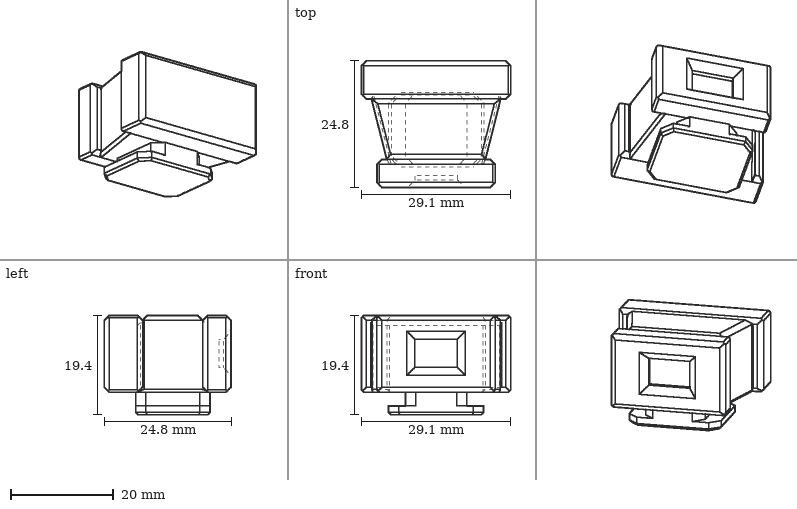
import cadquery as cq


block_height = 15.0
objective_width = 29.15
objective_depth = 7.5
eyepiece_width = 23.1
eyepiece_depth = 5.5
overall_depth = 24.75
wide_chamfer = 1.0
narrow_chamfer = wide_chamfer / 2

body_front_y = eyepiece_depth
body_rear_y = overall_depth - objective_depth
body_front_half_width = 9.65
body_rear_half_width = 12.62
seat_depth = wide_chamfer
top_front_slope_run = 1.0
top_rear_slope_run = 0.9
body_bottom_chamfer = 0.58
corner_bevel_length = 0.3
front_bevel_slope = 0.47
rear_bevel_slope = 0.14

relief_half_width = 12.77
relief_depth = 0.47
relief_top_z = block_height - 1.43
relief_bottom_z = 0.93
relief_side_slope = 0.6

window_width = 11.37
window_height = 8.57
window_center_z = 7.6
window_bevel = 1.55
window_straight_depth = 0.87

foot_depth = 14.52
foot_front_y = 4.08
foot_corner = 2.0
flange_width = 18.57
flange_thickness = 1.78
foot_height = 4.43
neck_width = 12.0


def symmetric_outline(front_to_rear):
    """Closed plan outline from (half width, y) points, listed from front to rear."""
    mirrored = [(-x, y) for x, y in reversed(front_to_rear)]
    return front_to_rear + mirrored


def prism(points, bottom_z, height):
    """Upright prism over a closed plan outline."""
    return cq.Workplane("XY").workplane(offset=bottom_z).polyline(points).close().extrude(height)


def make_block(width, depth, front_y):
    """Block with narrow chamfers along Y and wide chamfers around its front and rear faces."""
    blank = cq.Workplane("XY").box(width, depth, block_height, centered=(True, False, False))
    chamfered_ends = blank.faces("<Y or >Y").chamfer(wide_chamfer)
    chamfered_sides = blank.edges("|Y").chamfer(narrow_chamfer)
    return chamfered_ends.intersect(chamfered_sides).translate((0, front_y, 0))


def make_body():
    """Wedge-shaped body with chamfered sides, sloped upper ends and bevelled upright corners."""
    slope = (body_rear_half_width - body_front_half_width) / (body_rear_y - body_front_y)
    front_y = body_front_y - seat_depth
    rear_y = body_rear_y + seat_depth
    front_half = body_front_half_width - slope * seat_depth
    rear_half = body_rear_half_width + slope * seat_depth
    wedge_outline = symmetric_outline([(front_half, front_y), (rear_half, rear_y)])
    wedge = prism(wedge_outline, 0, block_height)
    wedge = wedge.faces(">Z").edges("not |X").chamfer(wide_chamfer)
    wedge = wedge.faces("<Z").edges("not |X").chamfer(body_bottom_chamfer)

    front_slope = top_front_slope_run + seat_depth
    rear_slope = top_rear_slope_run + seat_depth
    sloped_ends = (
        cq.Workplane("YZ")
        .polyline(
            [
                (front_y, 0),
                (rear_y, 0),
                (rear_y, block_height - rear_slope),
                (rear_y - rear_slope, block_height),
                (front_y + front_slope, block_height),
                (front_y, block_height - front_slope),
            ]
        )
        .close()
        .extrude(rear_half, both=True)
    )

    bevel_run = corner_bevel_length + seat_depth
    front_bevel_half = body_front_half_width + slope * corner_bevel_length
    rear_bevel_half = body_rear_half_width - slope * corner_bevel_length
    bevelled = symmetric_outline(
        [
            (front_bevel_half - front_bevel_slope * bevel_run, front_y),
            (front_bevel_half, body_front_y + corner_bevel_length),
            (rear_bevel_half, body_rear_y - corner_bevel_length),
            (rear_bevel_half - rear_bevel_slope * bevel_run, rear_y),
        ]
    )
    return wedge.intersect(sloped_ends).intersect(prism(bevelled, 0, block_height))


def make_relief():
    """Shallow recess with side walls that converge towards its floor."""
    floor_half_width = relief_half_width - relief_side_slope * relief_depth
    outline = symmetric_outline(
        [
            (relief_half_width, body_rear_y),
            (floor_half_width, body_rear_y + relief_depth),
        ]
    )
    return prism(outline, relief_bottom_z, relief_top_z - relief_bottom_z)


def make_window():
    """Rectangular pocket with a 45 degree bevelled mouth and a straight bottom part."""
    inner_width = window_width - 2 * window_bevel
    inner_height = window_height - 2 * window_bevel
    mouth = (
        cq.Workplane("XZ", origin=(0, 0, window_center_z))
        .rect(window_width, window_height)
        .workplane(offset=-window_bevel)
        .rect(inner_width, inner_height)
        .loft()
    )
    straight = (
        cq.Workplane("XZ", origin=(0, 0, window_center_z))
        .rect(inner_width, inner_height)
        .extrude(-(window_bevel + window_straight_depth))
    )
    return mouth.union(straight)


def make_foot():
    """Shoe foot: a neck on a wider flange, both with cut corners, the flange chamfered underneath."""

    def plate(width, bottom_z, height):
        slab = cq.Workplane("XY").box(width, foot_depth, height, centered=(True, False, False))
        return slab.edges("|Z").chamfer(foot_corner).translate((0, foot_front_y, bottom_z))

    flange = plate(flange_width, -foot_height, flange_thickness).faces("<Z").chamfer(narrow_chamfer)
    neck = plate(neck_width, -foot_height + flange_thickness, foot_height - flange_thickness)
    return flange.union(neck)


body = make_body()
objective = make_block(objective_width, objective_depth, body_rear_y).cut(body).cut(make_relief())
eyepiece = make_block(eyepiece_width, eyepiece_depth, 0).cut(body).cut(make_window())
foot = make_foot()

result = cq.Compound.makeCompound([objective.val(), body.val(), eyepiece.val(), foot.val()])